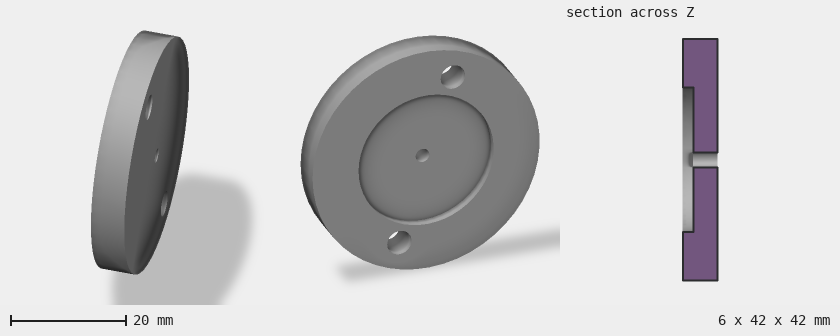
import cadquery as cq
import math

disc_diameter = 42.0
disc_thickness = 6.0
recess_diameter = 25.0
recess_depth = 1.8
center_hole_diameter = 2.5

side_hole_diameter = 4.5
side_hole_circle_radius = 16.0
side_hole_tilt = math.radians(18)


def cylinder_along_x(diameter, length, y=0.0, z=0.0):
    """Cylinder starting at X = 0 and running towards +X."""
    return cq.Workplane("YZ").center(y, z).circle(diameter / 2).extrude(length)


disc = cylinder_along_x(disc_diameter, disc_thickness)
recess = cylinder_along_x(recess_diameter, recess_depth)
center_hole = cylinder_along_x(center_hole_diameter, disc_thickness)
result = disc.cut(recess).cut(center_hole)

hole_y = -side_hole_circle_radius * math.sin(side_hole_tilt)
hole_z = side_hole_circle_radius * math.cos(side_hole_tilt)
for side in (1, -1):
    side_hole = cylinder_along_x(side_hole_diameter, disc_thickness, side * hole_y, side * hole_z)
    result = result.cut(side_hole)